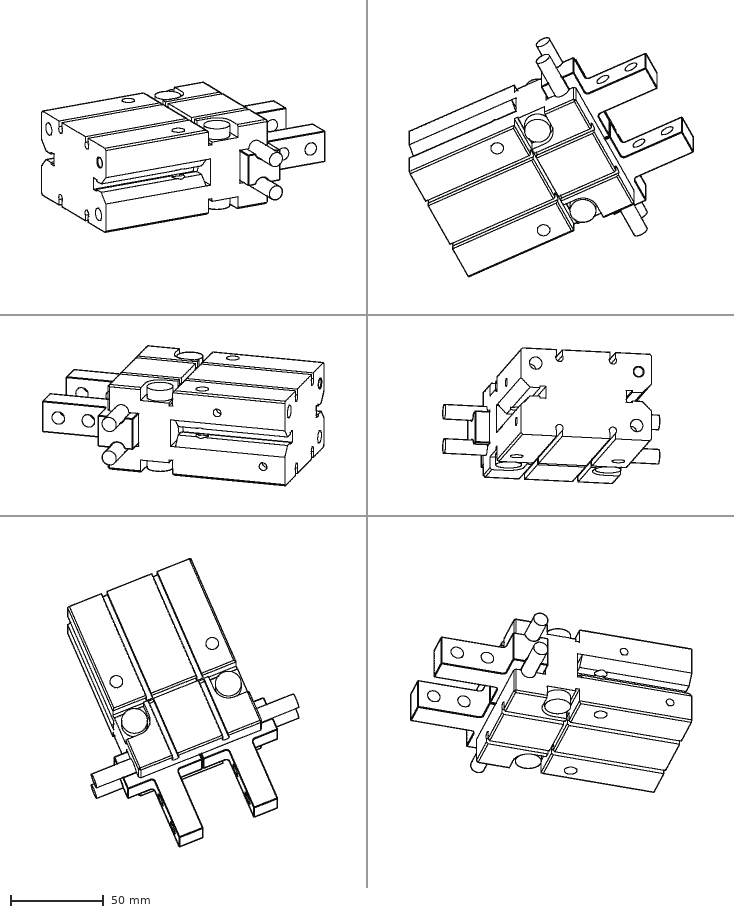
import cadquery as cq
import math

HOUSING_WIDTH = 72.0
HOUSING_LENGTH = 100.0
HOUSING_HEIGHT = 48.0
EDGE_CHAMFER = 1.0
HALF_WIDTH = HOUSING_WIDTH / 2
HALF_HEIGHT = HOUSING_HEIGHT / 2

CROSS_SLOT_START = 63.3
CROSS_SLOT_END = 65.4
CROSS_SLOT_DEPTH = 8.6

SENSOR_GROOVE_X = 14.7
SENSOR_GROOVE_WIDTH = 3.1
SENSOR_GROOVE_RADIUS = 2.0
SENSOR_GROOVE_AXIS_DEPTH = 4.5

SIDE_GROOVE_MOUTH = 7.5
SIDE_GROOVE_NECK = 2.4
SIDE_GROOVE_HEAD = 3.3
SIDE_GROOVE_HEAD_DEPTH = 10.6
SIDE_GROOVE_DEPTH = 13.9
SIDE_GROOVE_LENGTH = 61.7
SIDE_POCKET_END = 64.4
BARREL_RADIUS = 8.4

PIVOT_X = 27.4
PIVOT_Y = 73.0
PIN_RADIUS = 7.0
PIN_RECESS = 1.0
PIVOT_POCKET_RADIUS = 8.4
PIVOT_POCKET_DEPTH = 7.1

GUIDE_SLOT_HALF_HEIGHT = 9.4
GUIDE_SLOT_BACK = 82.4
ROD_LENGTH = 118.0
ROD_RADIUS = 4.0
ROD_Y = 92.0
ROD_Z = 9.5

CROSS_HOLE_DIAMETER = 6.8
CROSS_HOLE_X = 28.0
CROSS_HOLE_Y = 49.0
DRILL_POINT_ANGLE = 118.0
REAR_HOLE_DEPTH = 16.0
REAR_MOUNT_DIAMETER = 6.8
REAR_MOUNT_X = 27.8
REAR_MOUNT_Z = 15.9
REAR_PORT_DIAMETER = 5.2
REAR_PORT_MOUTH_DIAMETER = 6.0
REAR_PORT_X = 28.9
PORT_Z = 14.0
SIDE_PORT_DIAMETER = 4.3
SIDE_PORT_DEPTH = 6.0
UPPER_SIDE_PORT_Y = 38.2
LOWER_SIDE_PORT_Y = 12.3

JAW_INNER_X = 0.3
JAW_OUTER_X = 43.8
JAW_BACK_Y = 83.3
JAW_FRONT_Y = 103.0
JAW_HALF_HEIGHT = 8.75
FINGER_INNER_X = 14.8
FINGER_WIDTH = 14.0
FINGER_TIP_Y = 139.0
FINGER_ROOT_RADIUS = 1.8
FINGER_HOLE_DIAMETER = 7.0
FINGER_HOLES_Y = (113.0, 130.0)
JAW_CHAMFER = 0.4


def box(x_range, y_range, z_range):
    """Box between two limits along each axis."""
    sizes = [high - low for low, high in (x_range, y_range, z_range)]
    corner = (x_range[0], y_range[0], z_range[0])
    return cq.Workplane("XY").box(*sizes, centered=False).translate(corner)


def cylinder(radius, length, start, direction):
    """Cylinder from a start point along a direction."""
    solid = cq.Solid.makeCylinder(radius, length, cq.Vector(*start), cq.Vector(*direction))
    return cq.Workplane(obj=solid)


def blind_hole(diameter, depth, start, direction):
    """Drilled hole with a conical end beyond its full-width depth."""
    radius = diameter / 2
    point_length = radius / math.tan(math.radians(DRILL_POINT_ANGLE / 2))
    axis = cq.Vector(*direction)
    tip_start = cq.Vector(*start) + axis * depth
    point = cq.Solid.makeCone(radius, 0, point_length, tip_start, axis)
    return cylinder(radius, depth, start, direction).union(cq.Workplane(obj=point))


def both_sides(shape, plane):
    """A shape together with its mirror image."""
    return shape.union(shape.mirror(plane))


def four_corners(shape):
    return both_sides(both_sides(shape, "YZ"), "XY")


def housing_block():
    """Rear block and head, joined by the web between the two cross slots."""
    width_range = (-HALF_WIDTH, HALF_WIDTH)
    height_range = (-HALF_HEIGHT, HALF_HEIGHT)
    web_half_height = HALF_HEIGHT - CROSS_SLOT_DEPTH
    rear = box(width_range, (0, CROSS_SLOT_START), height_range)
    rear = rear.edges("|Y or (>Y and |X)").chamfer(EDGE_CHAMFER)
    head = box(width_range, (CROSS_SLOT_END, HOUSING_LENGTH), height_range)
    head = head.edges("|Y or >Y").chamfer(EDGE_CHAMFER)
    web = box(width_range, (CROSS_SLOT_START, CROSS_SLOT_END), (-web_half_height, web_half_height))
    return rear.union(web).union(head)


def sensor_grooves():
    axis_z = HALF_HEIGHT - SENSOR_GROOVE_AXIS_DEPTH
    half_slot = SENSOR_GROOVE_WIDTH / 2
    slot = box(
        (SENSOR_GROOVE_X - half_slot, SENSOR_GROOVE_X + half_slot),
        (0, HOUSING_LENGTH),
        (axis_z, HALF_HEIGHT),
    )
    round_bottom = cylinder(SENSOR_GROOVE_RADIUS, HOUSING_LENGTH, (SENSOR_GROOVE_X, 0, axis_z), (0, 1, 0))
    return four_corners(slot.union(round_bottom))


def side_grooves():
    """T grooves with 45 degree mouths, each ending in a pocket with a convex barrel-shaped floor."""
    neck_x = HALF_WIDTH - (SIDE_GROOVE_MOUTH - SIDE_GROOVE_NECK)
    head_x = HALF_WIDTH - SIDE_GROOVE_HEAD_DEPTH
    floor_x = HALF_WIDTH - SIDE_GROOVE_DEPTH
    upper_half = [
        (HALF_WIDTH, SIDE_GROOVE_MOUTH),
        (neck_x, SIDE_GROOVE_NECK),
        (head_x, SIDE_GROOVE_NECK),
        (head_x, SIDE_GROOVE_HEAD),
        (floor_x, SIDE_GROOVE_HEAD),
    ]
    lower_half = [(x, -z) for x, z in reversed(upper_half)]
    groove = cq.Workplane("XZ").polyline(upper_half + lower_half).close().extrude(-SIDE_GROOVE_LENGTH)

    barrel_x = floor_x - BARREL_RADIUS
    pocket = box(
        (barrel_x, HALF_WIDTH),
        (SIDE_GROOVE_LENGTH, SIDE_POCKET_END),
        (-SIDE_GROOVE_MOUTH, SIDE_GROOVE_MOUTH),
    )
    barrel = cylinder(BARREL_RADIUS, HOUSING_LENGTH, (barrel_x, 0, 0), (0, 1, 0))
    return both_sides(groove.union(pocket.cut(barrel)), "YZ")


def pivot_pockets():
    """Corner pockets open to the side and to the cross slot, with one rounded corner each."""
    pocket = box(
        (PIVOT_X - PIVOT_POCKET_RADIUS, HALF_WIDTH),
        (CROSS_SLOT_END, PIVOT_Y + PIVOT_POCKET_RADIUS),
        (HALF_HEIGHT - PIVOT_POCKET_DEPTH, HALF_HEIGHT),
    )
    return four_corners(pocket.edges("|Z and <X and >Y").fillet(PIVOT_POCKET_RADIUS))


def pivot_pins():
    floor_z = HALF_HEIGHT - PIVOT_POCKET_DEPTH
    pin_height = PIVOT_POCKET_DEPTH - PIN_RECESS
    return four_corners(cylinder(PIN_RADIUS, pin_height, (PIVOT_X, PIVOT_Y, floor_z), (0, 0, 1)))


def guide_slot():
    return box(
        (-HALF_WIDTH, HALF_WIDTH),
        (GUIDE_SLOT_BACK, HOUSING_LENGTH),
        (-GUIDE_SLOT_HALF_HEIGHT, GUIDE_SLOT_HALF_HEIGHT),
    )


def guide_rods():
    upper_rod = cylinder(ROD_RADIUS, ROD_LENGTH, (-ROD_LENGTH / 2, ROD_Y, ROD_Z), (1, 0, 0))
    return upper_rod.union(upper_rod.mirror("XY"))


def cross_holes():
    start = (CROSS_HOLE_X, CROSS_HOLE_Y, -HALF_HEIGHT)
    return both_sides(cylinder(CROSS_HOLE_DIAMETER / 2, HOUSING_HEIGHT, start, (0, 0, 1)), "YZ")


def rear_holes():
    """Two holes on a diagonal, and one port with a widened mouth."""
    inward = (0, 1, 0)
    port_start = (REAR_PORT_X, 0, PORT_Z)
    mouth_chamfer = (REAR_PORT_MOUTH_DIAMETER - REAR_PORT_DIAMETER) / 2
    mouth = cq.Solid.makeCone(
        REAR_PORT_MOUTH_DIAMETER / 2,
        REAR_PORT_DIAMETER / 2,
        mouth_chamfer,
        cq.Vector(*port_start),
        cq.Vector(*inward),
    )
    port = blind_hole(REAR_PORT_DIAMETER, REAR_HOLE_DEPTH, port_start, inward)
    holes = port.union(cq.Workplane(obj=mouth))
    for side in (-1, 1):
        start = (side * REAR_MOUNT_X, 0, -side * REAR_MOUNT_Z)
        holes = holes.union(blind_hole(REAR_MOUNT_DIAMETER, REAR_HOLE_DEPTH, start, inward))
    return holes


def side_ports():
    """Small ports in the -X side, one above and one below the T groove."""
    inward = (1, 0, 0)
    upper = blind_hole(SIDE_PORT_DIAMETER, SIDE_PORT_DEPTH, (-HALF_WIDTH, UPPER_SIDE_PORT_Y, PORT_Z), inward)
    lower = blind_hole(SIDE_PORT_DIAMETER, SIDE_PORT_DEPTH, (-HALF_WIDTH, LOWER_SIDE_PORT_Y, -PORT_Z), inward)
    return upper.union(lower)


def make_housing():
    """Housing with its guide rods and pivot pins as one solid."""
    body = housing_block()
    for cutter in (
        sensor_grooves(),
        side_grooves(),
        pivot_pockets(),
        guide_slot(),
        cross_holes(),
        rear_holes(),
        side_ports(),
    ):
        body = body.cut(cutter)
    return body.union(pivot_pins()).union(guide_rods())


def make_jaw():
    """Jaw on the +X side: a base plate cradled between the rods, and a finger pointing along +Y."""
    height_range = (-JAW_HALF_HEIGHT, JAW_HALF_HEIGHT)
    finger_outer_x = FINGER_INNER_X + FINGER_WIDTH
    base = box((JAW_INNER_X, JAW_OUTER_X), (JAW_BACK_Y, JAW_FRONT_Y), height_range)
    finger = box((FINGER_INNER_X, finger_outer_x), (JAW_BACK_Y, FINGER_TIP_Y), height_range)
    reach = 2 * FINGER_ROOT_RADIUS
    finger_root = cq.selectors.BoxSelector(
        (FINGER_INNER_X - reach, JAW_FRONT_Y - reach, -JAW_HALF_HEIGHT / 2),
        (finger_outer_x + reach, JAW_FRONT_Y + reach, JAW_HALF_HEIGHT / 2),
    )
    jaw = base.union(finger).edges(finger_root).fillet(FINGER_ROOT_RADIUS).cut(guide_rods())

    jaw = jaw.edges(cq.selectors.InverseSelector(finger_root)).chamfer(JAW_CHAMFER)

    for hole_y in FINGER_HOLES_Y:
        start = (FINGER_INNER_X, hole_y, 0)
        jaw = jaw.cut(cylinder(FINGER_HOLE_DIAMETER / 2, FINGER_WIDTH, start, (1, 0, 0)))
    return jaw


housing = make_housing()
right_jaw = make_jaw()
left_jaw = right_jaw.mirror("YZ")

result = cq.Compound.makeCompound([housing.val(), right_jaw.val(), left_jaw.val()])